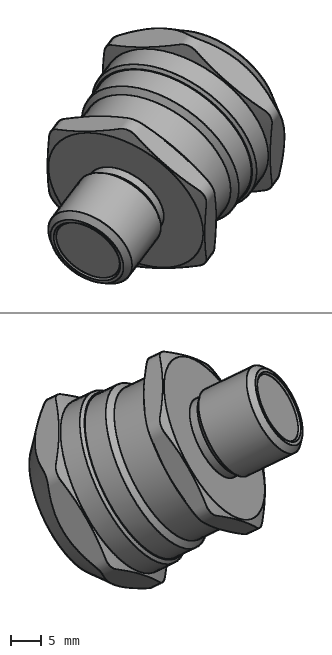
import cadquery as cq
import math

TOTAL_LENGTH = 41.75

STUB_DIAMETER = 16.0
STUB_TIP_CHAMFER = 1.05
STUB_END = 11.45
RELIEF_DIAMETER = 14.5
RELIEF_CHAMFER = (STUB_DIAMETER - RELIEF_DIAMETER) / 2

RECESS_DIAMETER = 12.7
RECESS_DEPTH = 0.315

NECK_DIAMETER = 28.0
MIDDLE_DIAMETER = 30.0
COLLAR_DIAMETER = 31.4
MIDDLE_START = 23.5
MIDDLE_CHAMFER = (MIDDLE_DIAMETER - NECK_DIAMETER) / 2
COLLAR_START = 28.7
COLLAR_CHAMFER = 0.55
CAP_OVERLAP = 0.4

BODY_NUT_FLATS = 30.0
BODY_NUT_START = 13.0
BODY_NUT_END = 17.0
BODY_NUT_FACE_DIAMETER = 29.5
CAP_NUT_FLATS = 32.0
CAP_NUT_START = 33.12
CAP_NUT_FACE_DIAMETER = 31.4
CAP_END_DIAMETER = 24.55
HEX_CORNER_RADIUS = 3.0
NUT_CHAMFER_ANGLE = 20.0
CAP_BEVEL_ANGLE = 45.0


def revolve_profile(points):
    """Revolve a closed (radius, y) outline about the Y axis."""
    return cq.Workplane("XY").polyline(points).close().revolve(360, (0, 0, 0), (0, 1, 0))


def hex_nut(flats, start, end, start_face_diameter, end_face_diameter, end_angle):
    """Round-cornered hexagon, corners up and down, with a conical bevel at each end."""
    corner_diameter = flats / math.cos(math.radians(30))
    prism = (
        cq.Workplane("XZ", origin=(0, start, 0))
        .transformed(rotate=(0, 0, 30))
        .polygon(6, corner_diameter)
        .extrude(start - end)
        .edges("|Y")
        .fillet(HEX_CORNER_RADIUS)
    )
    outer = corner_diameter / 2
    start_radius = start_face_diameter / 2
    end_radius = end_face_diameter / 2
    start_rise = (outer - start_radius) * math.tan(math.radians(NUT_CHAMFER_ANGLE))
    end_drop = (outer - end_radius) * math.tan(math.radians(end_angle))
    envelope = revolve_profile([
        (0, start),
        (start_radius, start),
        (outer, start + start_rise),
        (outer, end - end_drop),
        (end_radius, end),
        (0, end),
    ])
    return prism.intersect(envelope)


def turned_core():
    """Stub, thread relief and stepped body as one revolved solid."""
    stub = STUB_DIAMETER / 2
    relief = RELIEF_DIAMETER / 2
    neck = NECK_DIAMETER / 2
    middle = MIDDLE_DIAMETER / 2
    collar = COLLAR_DIAMETER / 2
    body_start = (BODY_NUT_START + BODY_NUT_END) / 2
    body_end = CAP_NUT_START + CAP_OVERLAP
    return revolve_profile([
        (0, 0),
        (stub - STUB_TIP_CHAMFER, 0),
        (stub, STUB_TIP_CHAMFER),
        (stub, STUB_END - RELIEF_CHAMFER),
        (relief, STUB_END),
        (relief, body_start),
        (neck, body_start),
        (neck, MIDDLE_START),
        (middle, MIDDLE_START + MIDDLE_CHAMFER),
        (middle, COLLAR_START),
        (collar - COLLAR_CHAMFER, COLLAR_START),
        (collar, COLLAR_START + COLLAR_CHAMFER),
        (collar, body_end),
        (0, body_end),
    ])


def tip_recess():
    """Cutter for the 45 degree tapered recess."""
    rim = RECESS_DIAMETER / 2
    return revolve_profile([
        (0, 0),
        (rim, 0),
        (rim - RECESS_DEPTH, RECESS_DEPTH),
        (0, RECESS_DEPTH),
    ])


body_nut = hex_nut(
    BODY_NUT_FLATS, BODY_NUT_START, BODY_NUT_END,
    BODY_NUT_FACE_DIAMETER, BODY_NUT_FACE_DIAMETER, NUT_CHAMFER_ANGLE,
)
cap_nut = hex_nut(
    CAP_NUT_FLATS, CAP_NUT_START, TOTAL_LENGTH,
    CAP_NUT_FACE_DIAMETER, CAP_END_DIAMETER, CAP_BEVEL_ANGLE,
)
result = turned_core().union(body_nut).union(cap_nut).cut(tip_recess())